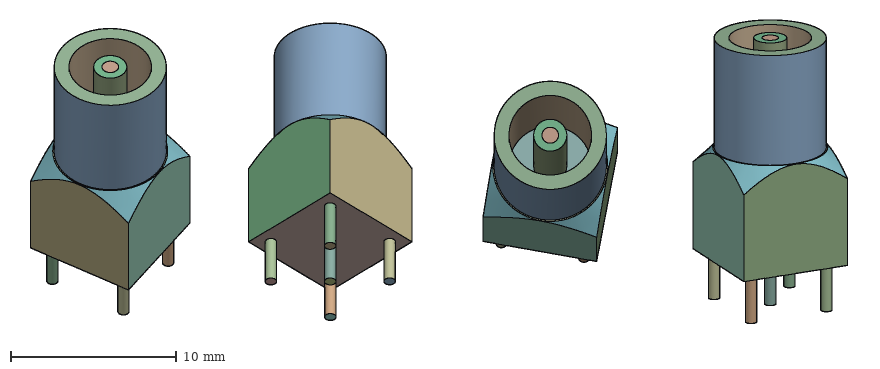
import cadquery as cq

BLOCK_SIDE = 7.0
PIN_LENGTH = 3.0
BARREL_LENGTH = 17 - PIN_LENGTH - BLOCK_SIDE
BARREL_DIAMETER = 6.8
BORE_DIAMETER = 5.0
INSULATOR_DIAMETER = 2.0
CONTACT_DIAMETER = 1.0
PIN_DIAMETER = 0.7
PIN_SPACING = 5.08
CHAMFER_TOP_RADIUS = 3.48

BLOCK_TOP = BLOCK_SIDE


def cylinder(diameter, bottom, length):
    """Vertical cylinder on the Z axis, starting at height `bottom`."""
    return cq.Workplane("XY").workplane(offset=bottom).circle(diameter / 2).extrude(length)


def corner_chamfer_cone():
    """45 degree cone envelope that bevels the upper corners of the block."""
    bottom_radius = CHAMFER_TOP_RADIUS + BLOCK_TOP
    return (
        cq.Workplane("XZ")
        .polyline([(0, 0), (bottom_radius, 0), (CHAMFER_TOP_RADIUS, BLOCK_TOP), (0, BLOCK_TOP)])
        .close()
        .revolve(360, (0, 0), (0, 1))
    )


def make_housing():
    """Square block with conically bevelled corners, carrying a round bored barrel."""
    block = cq.Workplane("XY").box(BLOCK_SIDE, BLOCK_SIDE, BLOCK_TOP, centered=(True, True, False))
    block = block.intersect(corner_chamfer_cone())
    barrel = cylinder(BARREL_DIAMETER, BLOCK_TOP, BARREL_LENGTH)
    bore = cylinder(BORE_DIAMETER, BLOCK_TOP, BARREL_LENGTH)
    return block.union(barrel.cut(bore))


def make_insulator():
    """Sleeve around the contact, from the bore floor to the barrel rim."""
    sleeve = cylinder(INSULATOR_DIAMETER, BLOCK_TOP, BARREL_LENGTH)
    return sleeve.cut(cylinder(CONTACT_DIAMETER, BLOCK_TOP, BARREL_LENGTH))


def make_contact():
    """Round contact filling the insulator sleeve, flush with the rim."""
    return cylinder(CONTACT_DIAMETER, BLOCK_TOP, BARREL_LENGTH)


def make_pin(x, y):
    """Solder pin reaching down from the underside of the block."""
    return cylinder(PIN_DIAMETER, -PIN_LENGTH, PIN_LENGTH).translate((x, y, 0))


housing = make_housing()
insulator = make_insulator()
contact = make_contact()

pins = [make_pin(0, 0)]
for x_side in (-1, 1):
    for y_side in (-1, 1):
        pins.append(make_pin(x_side * PIN_SPACING / 2, y_side * PIN_SPACING / 2))

result = cq.Compound.makeCompound(
    [housing.solids().val(), insulator.solids().val(), contact.val(), *[pin.val() for pin in pins]]
)